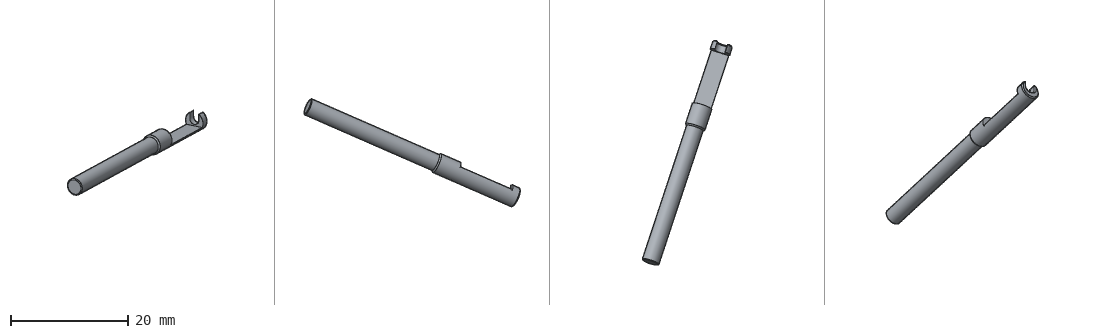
import cadquery as cq

length = 40.0
tip_y = length / 2
end_y = -length / 2

collar_radius = 1.75
shank_diameter = 3.0
shank_radius = shank_diameter / 2
shoulder_y = tip_y - 15.5
shoulder_bevel = collar_radius - shank_radius
end_bevel_length = 0.1
end_bevel_depth = 0.2
tip_bevel = 0.2

head_length = 1.5
collar_start = 11.5
flat_z = -0.75

slot_width = 1.8
slot_radius = slot_width / 2
slot_bottom_z = -0.5
slot_bevel = 0.25


def turned_body():
    """Shank, collar and tip as one revolved profile."""
    profile = [
        (0, end_y),
        (shank_radius - end_bevel_depth, end_y),
        (shank_radius, end_y + end_bevel_length),
        (shank_radius, shoulder_y),
        (collar_radius, shoulder_y + shoulder_bevel),
        (collar_radius, tip_y - tip_bevel),
        (collar_radius - tip_bevel, tip_y),
        (0, tip_y),
    ]
    return cq.Workplane("XY").polyline(profile).close().revolve(360, (0, 0), (0, 1))


def arm_relief():
    """Material above the flat arm."""
    relief_length = collar_start - head_length
    return (
        cq.Workplane("XY", origin=(0, tip_y - (head_length + collar_start) / 2, flat_z))
        .box(2 * collar_radius, relief_length, 2 * collar_radius, centered=(True, True, False))
    )


def slot_outline(y, growth):
    """Open-topped U outline at position y, widened by growth on every side."""
    half_width = slot_radius + growth
    arc_z = slot_bottom_z + slot_radius
    return (
        cq.Workplane("XZ", origin=(0, y, 0))
        .moveTo(-half_width, collar_radius)
        .lineTo(-half_width, arc_z)
        .threePointArc((0, arc_z - half_width), (half_width, arc_z))
        .lineTo(half_width, collar_radius)
        .close()
    )


def hook_slot():
    """U slot through the head, with a bevelled mouth at the tip."""
    slot = slot_outline(tip_y, 0).extrude(head_length)
    wide_mouth = slot_outline(tip_y, slot_bevel).wires().val()
    narrow_mouth = slot_outline(tip_y - slot_bevel, 0).wires().val()
    mouth = cq.Solid.makeLoft([wide_mouth, narrow_mouth], True)
    return slot.union(cq.Workplane(obj=mouth))


result = turned_body().cut(arm_relief()).cut(hook_slot())